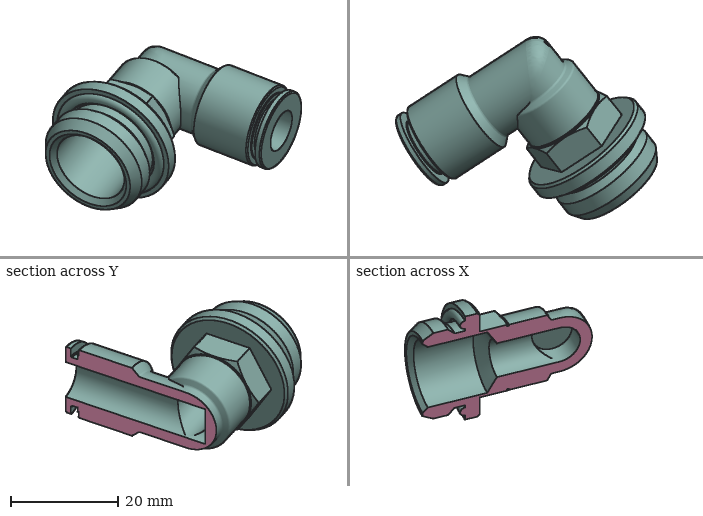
import cadquery as cq
import math


elbow_radius = 6.5
corner_blend = 0.52

flange_radius = 25.0 / 2
arm_end = 38.3 - flange_radius
arm_radius = 8.0
arm_cone_start = 10.05
arm_cone_end = 11.55
arm_cone_blend = 0.45
arm_sleeve_end = 23.05
arm_edge = 0.25
sleeve_lip_radius = 6.65
sleeve_lip_end = 23.3
collar_neck_radius = 5.7
collar_step_radius = 5.85
collar_step_start = 24.4
collar_radius = 7.75
collar_start = 24.6
collar_edge_length = 0.25
collar_edge_drop = 0.23

body_radius = 7.93
body_cone_start = 1.72
body_cone_end = 2.5
body_cone_blend = 0.45
body_bottom = 10.23
relief_radius = 7.65
hex_top = 10.55
hex_flats = 2 * arm_radius
hex_edge_angle = 30
flange_top = 16.0
flange_edge_length = 0.55
flange_edge_drop = 0.45
flange_bottom = 19.0
seal_radius = 10.45
seal_thickness_radius = 1.0
neck_radius = 9.05
thread_cone_start = 21.05
thread_cone_end = 22.4
thread_radius = 10.38
thread_edge_start = 25.35
stem_end = 35.5 - arm_radius
stem_end_radius = 9.1

passage_radius = 4.02
socket_radius = 7.25
socket_edge = 1.05
socket_depth_end = 14.55
socket_cone_angle = 118

X_AXIS = ((0, 0, 0), (1, 0, 0))
Y_AXIS = ((0, 0, 0), (0, 1, 0))


def turned_on_x(profile):
    """Turn (position along X, radius) points about the X axis."""
    return cq.Workplane("XY").polyline(profile).close().revolve(360, *X_AXIS)


def turned_on_y(profile):
    """Turn (radius, depth along -Y) points about the Y axis."""
    points = [(radius, -depth) for radius, depth in profile]
    return cq.Workplane("XY").polyline(points).close().revolve(360, *Y_AXIS)


def make_elbow():
    """Two round legs joined by an ellipsoid that is tangent to both of them."""
    reach = 2 * elbow_radius
    offset = corner_blend * reach
    arm_leg = cq.Workplane("YZ").circle(elbow_radius).extrude(arm_cone_start + reach)
    arm_leg = arm_leg.translate((-reach, 0, 0))
    arm_side = (
        cq.Workplane("XY")
        .polyline([(-offset, reach), (reach, reach), (reach, -reach), (offset, -reach)])
        .close()
        .extrude(reach, both=True)
    )
    arm_leg = arm_leg.intersect(arm_side)
    stem_leg = arm_leg.rotate((0, 0, 0), (1, -1, 0), 180)

    long_scale = math.sqrt(1 + corner_blend)
    short_scale = math.sqrt(1 - corner_blend)
    stretch = cq.Matrix([[long_scale, 0, 0, 0], [0, short_scale, 0, 0], [0, 0, 1, 0]])
    half_angle = math.degrees(math.atan(short_scale / long_scale))
    ball_sector = (
        cq.Workplane("XZ")
        .moveTo(0, -elbow_radius)
        .threePointArc((elbow_radius, 0), (0, elbow_radius))
        .close()
        .revolve(2 * half_angle, *Y_AXIS)
    )
    ball_sector = ball_sector.rotate((0, 0, 0), (0, 0, 1), -half_angle)
    corner = cq.Workplane(ball_sector.val().transformGeometry(stretch))
    corner = corner.rotate((0, 0, 0), (0, 0, 1), 135)
    return arm_leg.union(stem_leg).union(corner)


def make_tube_arm():
    """Sleeve with its conical shoulder and the release collar at the open end."""
    stub_start = arm_cone_start - arm_cone_blend
    sleeve = turned_on_x([
        (stub_start, 0),
        (stub_start, elbow_radius),
        (arm_cone_start, elbow_radius),
        (arm_cone_end, arm_radius),
        (arm_sleeve_end - arm_edge, arm_radius),
        (arm_sleeve_end, arm_radius - arm_edge),
        (arm_sleeve_end, sleeve_lip_radius),
        (sleeve_lip_end, sleeve_lip_radius),
        (sleeve_lip_end, collar_neck_radius),
        (collar_step_start, collar_neck_radius),
        (collar_step_start, collar_step_radius),
        (collar_start, collar_step_radius),
        (collar_start, collar_radius),
        (arm_end - collar_edge_length, collar_radius),
        (arm_end, collar_radius - collar_edge_drop),
        (arm_end, 0),
    ])
    cone_foot = sleeve.edges(cq.selectors.NearestToPointSelector((arm_cone_start, 0, 0)))
    return cone_foot.fillet(arm_cone_blend)


def make_body():
    """Round body below the elbow, down to the relief above the hexagon."""
    stub_start = body_cone_start - body_cone_blend
    body = turned_on_y([
        (0, stub_start),
        (elbow_radius, stub_start),
        (elbow_radius, body_cone_start),
        (body_radius, body_cone_end),
        (body_radius, body_bottom),
        (relief_radius, body_bottom),
        (relief_radius, hex_top),
        (0, hex_top),
    ])
    at_cone_foot = cq.selectors.NearestToPointSelector((0, -body_cone_start, 0))
    at_cone_rim = cq.selectors.NearestToPointSelector((0, -body_cone_end, 0))
    return body.edges(at_cone_foot + at_cone_rim).fillet(body_cone_blend)


def make_hexagon():
    """Wrench hexagon with corners on the X axis, bevelled by a cone at the top."""
    corner_radius = hex_flats / math.sqrt(3)
    height = flange_top - hex_top
    hexagon = (
        cq.Workplane("XZ", origin=(0, -hex_top, 0))
        .polygon(6, 2 * corner_radius)
        .extrude(height)
    )
    bevel_radius = hex_flats / 2
    bevel_depth = (corner_radius - bevel_radius) * math.tan(math.radians(hex_edge_angle))
    envelope = turned_on_y([
        (0, hex_top),
        (bevel_radius, hex_top),
        (corner_radius, hex_top + bevel_depth),
        (corner_radius, flange_top),
        (0, flange_top),
    ])
    return hexagon.intersect(envelope)


def make_threaded_end():
    """Flange, thread neck and plain thread envelope."""
    return turned_on_y([
        (0, flange_top),
        (flange_radius - flange_edge_drop, flange_top),
        (flange_radius, flange_top + flange_edge_length),
        (flange_radius, flange_bottom),
        (neck_radius, flange_bottom),
        (neck_radius, thread_cone_start),
        (thread_radius, thread_cone_end),
        (thread_radius, thread_edge_start),
        (stem_end_radius, stem_end),
        (0, stem_end),
    ])


def make_seal():
    """Round-section seal ring, half sunk into the underside of the flange."""
    return (
        cq.Workplane("XY")
        .center(seal_radius, -flange_bottom)
        .circle(seal_thickness_radius)
        .revolve(360, (-seal_radius, 0, 0), (-seal_radius, 1, 0))
    )


def make_bores():
    """Passage through both legs, widening to a socket at the threaded end."""
    arm_passage = (
        cq.Workplane("YZ", origin=(-passage_radius, 0, 0))
        .circle(passage_radius)
        .extrude(passage_radius + arm_end)
    )
    cone_slope = math.tan(math.radians(socket_cone_angle / 2))
    socket_cone_top = socket_depth_end - (socket_radius - passage_radius) / cone_slope
    stem_passage = turned_on_y([
        (0, 0),
        (passage_radius, 0),
        (passage_radius, socket_cone_top),
        (socket_radius, socket_depth_end),
        (socket_radius, stem_end - socket_edge),
        (socket_radius + socket_edge, stem_end),
        (0, stem_end),
    ])
    return arm_passage.union(stem_passage)


result = (
    make_elbow()
    .union(make_tube_arm())
    .union(make_body())
    .union(make_hexagon())
    .union(make_threaded_end())
    .union(make_seal())
    .cut(make_bores())
)